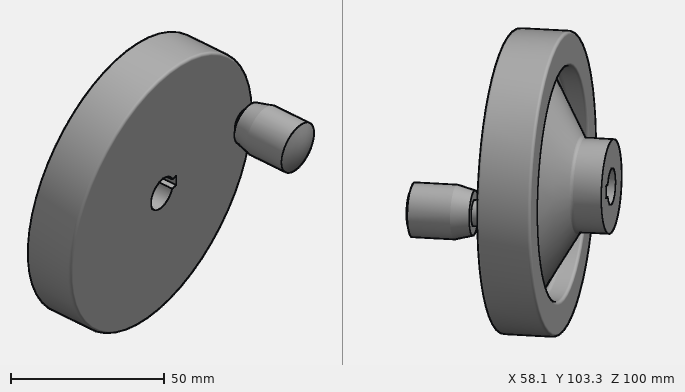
import cadquery as cq

wheel_diameter = 100.0
rim_front_x = 16.0
rim_width = 18.0
rim_edge_radius = 1.0
recess_diameter = 77.0

hub_diameter = 31.0
hub_length = 10.1
cone_base_x = 24.2
web_fillet_radius = 1.3

bore_diameter = 12.0
key_width = 4.0
key_reach = 7.8

knob_offset_y = 44.3
pin_diameter = 8.7
pin_gap = 2.1
knob_diameter = 18.0
knob_neck_diameter = 14.9
knob_taper_length = 6.0
knob_end_x = 58.1
knob_dome_height = 1.9

rim_back_x = rim_front_x + rim_width


def revolve_about_x(profile):
    return profile.close().revolve(360, (0, 0, 0), (1, 0, 0))


def circles_at(solid, x, radius):
    """Select the circular edges lying at a given x and radius."""
    tolerance = 0.01
    return solid.edges("%CIRCLE").filter(
        lambda edge: abs(edge.Center().x - x) < tolerance
        and abs(edge.radius() - radius) < tolerance
    )


def make_wheel():
    """Hub, conical web and rim with a recessed front; the back is flat."""
    wheel_radius = wheel_diameter / 2
    recess_radius = recess_diameter / 2
    hub_radius = hub_diameter / 2
    profile = (
        cq.Workplane("XY")
        .lineTo(0, hub_radius)
        .lineTo(hub_length, hub_radius)
        .lineTo(cone_base_x, recess_radius)
        .lineTo(rim_front_x, recess_radius)
        .lineTo(rim_front_x, wheel_radius)
        .lineTo(rim_back_x, wheel_radius)
        .lineTo(rim_back_x, 0)
    )
    wheel = revolve_about_x(profile)
    fillets = [
        (hub_length, hub_radius, web_fillet_radius),
        (cone_base_x, recess_radius, web_fillet_radius),
        (rim_front_x, recess_radius, rim_edge_radius),
        (rim_front_x, wheel_radius, rim_edge_radius),
        (rim_back_x, wheel_radius, rim_edge_radius),
    ]
    for x, radius, fillet_radius in fillets:
        wheel = circles_at(wheel, x, radius).fillet(fillet_radius)
    return wheel


def make_bore():
    """Through bore with a keyway on its +Y side."""
    bore = cq.Workplane("YZ").circle(bore_diameter / 2).extrude(rim_back_x)
    keyway = (
        cq.Workplane("YZ")
        .center(key_reach / 2, 0)
        .rect(key_reach, key_width)
        .extrude(rim_back_x)
    )
    return bore.union(keyway)


def make_handle():
    """Pin and knob with a tapered neck and a domed end."""
    pin_radius = pin_diameter / 2
    knob_radius = knob_diameter / 2
    pin_root_x = rim_back_x - rim_width / 2
    knob_start_x = rim_back_x + pin_gap
    profile = (
        cq.Workplane("XY")
        .moveTo(pin_root_x, 0)
        .lineTo(pin_root_x, pin_radius)
        .lineTo(knob_start_x, pin_radius)
        .lineTo(knob_start_x, knob_neck_diameter / 2)
        .lineTo(knob_start_x + knob_taper_length, knob_radius)
        .lineTo(knob_end_x - knob_dome_height, knob_radius)
    )
    dome_radius = (knob_radius**2 + knob_dome_height**2) / (2 * knob_dome_height)
    profile = profile.radiusArc((knob_end_x, 0), dome_radius)
    return revolve_about_x(profile).translate((0, knob_offset_y, 0))


result = make_wheel().cut(make_bore()).union(make_handle())